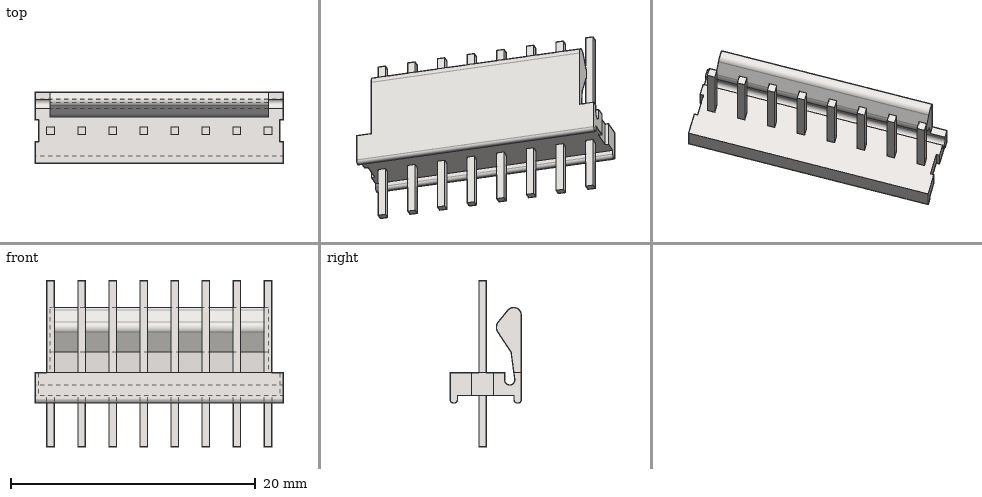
import cadquery as cq
import math

pin_count = 8
length = 20.32
depth = 5.83
back_y = depth / 2
front_y = -depth / 2

plate_height = 1.89
foot_height = 0.6
foot_width = 0.6
foot_radius = 0.26
foot_bottom = -plate_height - foot_height

pitch = length / pin_count
pin_size = 0.63
pin_above = 7.52
pin_length = 13.6
pin_y = back_y - 3.17

notch_width = 1.79
notch_depth = 0.28

groove_radius = 0.4
groove_y = back_y - 0.95
groove_z = -0.6

latch_inset = 1.24
tip_radius = 0.63
tip_center = (back_y - tip_radius, 4.7)
nose_radius = 0.71
nose_center = (back_y - 1.35, 3.7)
knee = (back_y - 0.85, 1.67)


def point_on_circle(center, radius, angle):
    return (center[0] + radius * math.cos(angle), center[1] + radius * math.sin(angle))


def tangent_angle(start, start_radius, end, end_radius):
    """Angle of the normal of the outer tangent on the right when going from start to end."""
    dy = end[0] - start[0]
    dz = end[1] - start[1]
    spread = math.acos((start_radius - end_radius) / math.hypot(dy, dz))
    return math.atan2(dz, dy) - spread


groove_center = (groove_y, groove_z)
tip_angle = tangent_angle(tip_center, tip_radius, nose_center, nose_radius)
nose_angle = tangent_angle(nose_center, nose_radius, knee, 0)
stem_angle = tangent_angle(groove_center, groove_radius, knee, 0)
stem_foot = point_on_circle(groove_center, groove_radius, stem_angle)

stem_slope = (knee[0] - stem_foot[0]) / (knee[1] - stem_foot[1])
stem_top_y = knee[0] - stem_slope * knee[1]


def foot_section(edge_y, inward):
    """One foot, rounded at both lower edges, running the full length."""
    center_y = edge_y + inward * foot_width / 2
    return (
        cq.Workplane("XY", origin=(0, center_y, foot_bottom))
        .box(length, foot_width, foot_height + plate_height / 2, centered=(True, True, False))
        .edges("|X and <Z")
        .fillet(foot_radius)
    )


def make_base():
    plate = cq.Workplane("XY", origin=(0, 0, -plate_height)).box(
        length, depth, plate_height, centered=(True, True, False)
    )
    plate = plate.union(foot_section(back_y, -1)).union(foot_section(front_y, 1))
    groove = (
        cq.Workplane("YZ")
        .moveTo(stem_top_y, 0)
        .lineTo(*stem_foot)
        .threePointArc((groove_y, groove_z - groove_radius), (groove_y - groove_radius, groove_z))
        .lineTo(groove_y - groove_radius, 0)
        .close()
        .extrude(length / 2, both=True)
    )
    return plate.cut(groove)


def make_latch():
    tip_start = (back_y, tip_center[1])
    tip_top = (tip_center[0], tip_center[1] + tip_radius)
    nose_front = (nose_center[0] - nose_radius, nose_center[1])
    return (
        cq.Workplane("YZ")
        .moveTo(back_y, 0)
        .lineTo(*tip_start)
        .threePointArc(tip_top, point_on_circle(tip_center, tip_radius, tip_angle))
        .lineTo(*point_on_circle(nose_center, nose_radius, tip_angle))
        .threePointArc(nose_front, point_on_circle(nose_center, nose_radius, nose_angle))
        .lineTo(*knee)
        .lineTo(stem_top_y, 0)
        .close()
        .extrude(length / 2 - latch_inset, both=True)
    )


def make_end_notches():
    return (
        cq.Workplane("XY", origin=(0, pin_y, -plate_height))
        .pushPoints([(-length / 2, 0), (length / 2, 0)])
        .rect(2 * notch_depth, notch_width)
        .extrude(plate_height)
    )


def make_pins():
    return (
        cq.Workplane("XY", origin=(0, pin_y, pin_above - pin_length))
        .rarray(pitch, 0.2, pin_count, 1)
        .rect(pin_size, pin_size)
        .extrude(pin_length)
    )


result = make_base().union(make_latch()).cut(make_end_notches()).union(make_pins())